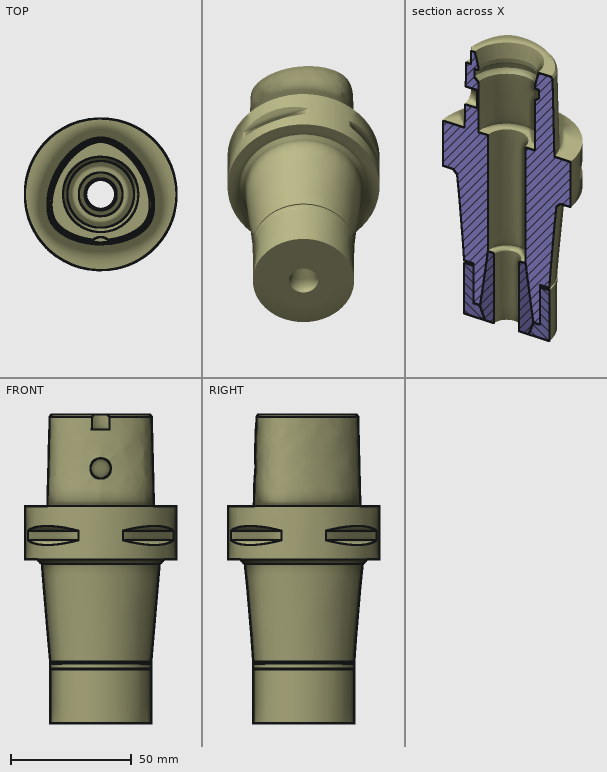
import cadquery as cq
import math


OVERALL_LENGTH = 128

SHANK_LENGTH = 38.0
SHANK_MEAN_RADIUS = 22.1
LOBE_HEIGHT = 1.4
OUTLINE_POINTS = 36
SHANK_TAPER_ANGLE = 1.44
SHANK_CHAMFER_HEIGHT = 1.2
SHANK_CHAMFER_WIDTH = 0.9

FLANGE_DIAMETER = 63.0
FLANGE_HEIGHT = 22.0
SLOT_COUNT = 4
SLOT_FLOOR_DISTANCE = 27.8
SLOT_FLOOR_HEIGHT = 3.8
SLOT_FLARE = 2.0
SLOT_DROP = 12.2

COLLAR_RADIUS = 26.4
COLLAR_HEIGHT = 1.9
CONE_TOP_RADIUS = 24.5
CONE_BOTTOM_RADIUS = 21.0
NUT_GAP = 0.9
NOSE_RADIUS = 16.5

MOUTH_RADIUS = 15.6
BORE_RADIUS = 13.8
MOUTH_DEPTH = 6.5
GROOVE_TOP_DEPTH = 8.5
GROOVE_BOTTOM_DEPTH = 12.2
GROOVE_RADIUS = 15.7
BORE_SHOULDER_DEPTH = 14.0

NOTCH_RADIUS = 4.4
NOTCH_DEPTH = 6.3
NOTCH_INNER_DISTANCE = 17.7
HOLE_RADIUS = 4.2
HOLE_DROP = 22.4
HOLE_FLOOR_DISTANCE = 14.7

NUT_HEIGHT = 24.7
NUT_RADIUS = 21.0
NUT_RIM_RADIUS = 21.1
NUT_RIM_HEIGHT = 2.0
NUT_STEP_HEIGHT = 0.4
NUT_LIP_HEIGHT = 6.4

COLLET_LENGTH = 34.0
COLLET_BACK_RADIUS = 9.1
COLLET_TAPER_ANGLE = 8
COLLET_FRONT_RADIUS = 10.6
COLLET_BORE_RADIUS = 6.0
COLLET_BORE_CHAMFER = 0.6

FLANGE_TOP = OVERALL_LENGTH - SHANK_LENGTH
FLANGE_BOTTOM = FLANGE_TOP - FLANGE_HEIGHT
FLANGE_RADIUS = FLANGE_DIAMETER / 2
CONE_TOP = FLANGE_BOTTOM - COLLAR_HEIGHT
CONE_BOTTOM = NUT_HEIGHT + NUT_GAP
SHANK_TAPER = math.tan(math.radians(SHANK_TAPER_ANGLE))
COLLET_TAPER = math.tan(math.radians(COLLET_TAPER_ANGLE))
COLLET_WIDEST_RADIUS = COLLET_BACK_RADIUS + (COLLET_LENGTH - NUT_LIP_HEIGHT) * COLLET_TAPER


def revolved(profile):
    """Solid of revolution about Z from (radius, height) points."""
    return cq.Workplane("XZ").polyline(profile).close().revolve(360, (0, 0, 0), (0, 1, 0))


def lobed_outline(mean_radius, height):
    """Closed three-lobed curve of constant width, with one lobe toward +Y."""
    points = []
    for index in range(OUTLINE_POINTS):
        angle = 2 * math.pi * index / OUTLINE_POINTS - math.pi / 2
        reach = mean_radius - LOBE_HEIGHT * math.sin(3 * angle)
        slope = -3 * LOBE_HEIGHT * math.cos(3 * angle)
        x = reach * math.cos(angle) - slope * math.sin(angle)
        y = reach * math.sin(angle) + slope * math.cos(angle)
        points.append(cq.Vector(x, y, height))
    edge = cq.Edge.makeSpline(points, periodic=True)
    return cq.Wire.assembleEdges([edge])


def make_shank():
    """Tapered three-lobed shank with a chamfered end."""
    chamfer_start = SHANK_LENGTH - SHANK_CHAMFER_HEIGHT
    shoulder_radius = SHANK_MEAN_RADIUS - chamfer_start * SHANK_TAPER
    base = lobed_outline(SHANK_MEAN_RADIUS, FLANGE_TOP)
    shoulder = lobed_outline(shoulder_radius, FLANGE_TOP + chamfer_start)
    tip = lobed_outline(shoulder_radius - SHANK_CHAMFER_WIDTH, OVERALL_LENGTH)
    taper = cq.Workplane(cq.Solid.makeLoft([base, shoulder], True))
    chamfer = cq.Workplane(cq.Solid.makeLoft([shoulder, tip], True))
    return taper.union(chamfer)


def make_holder_body():
    """Flange, body cone and the nose that enters the nut."""
    return revolved([
        (0, FLANGE_TOP),
        (FLANGE_RADIUS, FLANGE_TOP),
        (FLANGE_RADIUS, FLANGE_BOTTOM),
        (COLLAR_RADIUS, FLANGE_BOTTOM),
        (CONE_TOP_RADIUS, CONE_TOP),
        (CONE_BOTTOM_RADIUS, CONE_BOTTOM),
        (NOSE_RADIUS, CONE_BOTTOM),
        (NOSE_RADIUS, NUT_LIP_HEIGHT),
        (0, NUT_LIP_HEIGHT),
    ])


def make_holder_bore():
    """Stepped shank bore with its clamping groove, through hole and collet seat."""
    return revolved([
        (0, OVERALL_LENGTH),
        (MOUTH_RADIUS, OVERALL_LENGTH),
        (BORE_RADIUS, OVERALL_LENGTH - MOUTH_DEPTH),
        (BORE_RADIUS, OVERALL_LENGTH - GROOVE_TOP_DEPTH),
        (GROOVE_RADIUS, OVERALL_LENGTH - GROOVE_TOP_DEPTH),
        (GROOVE_RADIUS, OVERALL_LENGTH - GROOVE_BOTTOM_DEPTH),
        (BORE_RADIUS, OVERALL_LENGTH - BORE_SHOULDER_DEPTH),
        (BORE_RADIUS, FLANGE_TOP),
        (COLLET_BACK_RADIUS, FLANGE_TOP),
        (COLLET_BACK_RADIUS, COLLET_LENGTH),
        (COLLET_WIDEST_RADIUS, NUT_LIP_HEIGHT),
        (0, NUT_LIP_HEIGHT),
    ])


def make_gripper_slot(azimuth):
    """Straight flared slot cut across the flange rim, facing the given azimuth."""
    flare_slope = SLOT_FLARE / (FLANGE_RADIUS - SLOT_FLOOR_DISTANCE)
    outer_distance = FLANGE_RADIUS + 1.3
    floor_half = SLOT_FLOOR_HEIGHT / 2
    outer_half = floor_half + flare_slope * (outer_distance - SLOT_FLOOR_DISTANCE)
    slot = (
        cq.Workplane("XZ")
        .polyline([
            (SLOT_FLOOR_DISTANCE, -floor_half),
            (outer_distance, -outer_half),
            (outer_distance, outer_half),
            (SLOT_FLOOR_DISTANCE, floor_half),
        ])
        .close()
        .extrude(FLANGE_RADIUS, both=True)
    )
    return slot.translate((0, 0, FLANGE_TOP - SLOT_DROP)).rotate((0, 0, 0), (0, 0, 1), azimuth)


def make_key_notch():
    """Vertical round notch in the end of the shank."""
    return (
        cq.Workplane("XY", origin=(0, 0, OVERALL_LENGTH - NOTCH_DEPTH))
        .center(0, -(NOTCH_INNER_DISTANCE + NOTCH_RADIUS))
        .circle(NOTCH_RADIUS)
        .extrude(NOTCH_DEPTH)
    )


def make_blind_hole():
    """Radial flat-bottomed hole in the -Y side of the shank."""
    return (
        cq.Workplane("XZ", origin=(0, -HOLE_FLOOR_DISTANCE, OVERALL_LENGTH - HOLE_DROP))
        .circle(HOLE_RADIUS)
        .extrude(SHANK_MEAN_RADIUS - HOLE_FLOOR_DISTANCE)
    )


def make_holder():
    """Flange, cone and shank in one piece, with all bores, slots and notches cut."""
    holder = make_holder_body().union(make_shank()).cut(make_holder_bore())
    slot_pitch = 360 / SLOT_COUNT
    for index in range(SLOT_COUNT):
        holder = holder.cut(make_gripper_slot(slot_pitch * (index + 0.5)))
    return holder.cut(make_key_notch()).cut(make_blind_hole())


def make_nut():
    """Cup over the nose, with a front lip that fits the collet."""
    rim_bottom = NUT_HEIGHT - NUT_RIM_HEIGHT
    return revolved([
        (COLLET_FRONT_RADIUS, 0),
        (NUT_RADIUS, 0),
        (NUT_RADIUS, rim_bottom - NUT_STEP_HEIGHT),
        (NUT_RIM_RADIUS, rim_bottom),
        (NUT_RIM_RADIUS, NUT_HEIGHT),
        (NOSE_RADIUS, NUT_HEIGHT),
        (NOSE_RADIUS, NUT_LIP_HEIGHT),
        (COLLET_WIDEST_RADIUS, NUT_LIP_HEIGHT),
    ])


def make_collet():
    """Double-tapered sleeve held between the holder seat and the nut lip."""
    return revolved([
        (COLLET_BORE_RADIUS, 0),
        (COLLET_FRONT_RADIUS, 0),
        (COLLET_WIDEST_RADIUS, NUT_LIP_HEIGHT),
        (COLLET_BACK_RADIUS, COLLET_LENGTH),
        (COLLET_BORE_RADIUS + COLLET_BORE_CHAMFER, COLLET_LENGTH),
        (COLLET_BORE_RADIUS, COLLET_LENGTH - COLLET_BORE_CHAMFER),
    ])


holder = make_holder()
nut = make_nut()
collet = make_collet()

result = cq.Compound.makeCompound([holder.val(), nut.val(), collet.val()])